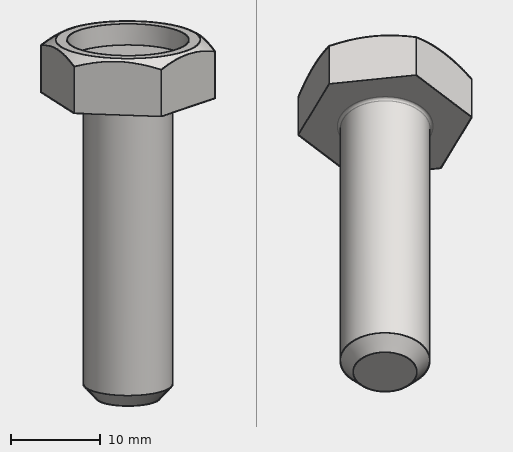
import cadquery as cq
import math

total_length = 41.4
across_flats = 17.0
across_corners = across_flats / math.cos(math.radians(30))

head_height = 6.4
head_face_diameter = 16.15
head_chamfer_angle = 30.0
envelope_margin = 0.4
recess_diameter = 13.6
recess_depth = 2.45

shank_diameter = 10.0
shank_length = total_length - head_height
tip_diameter = 7.12
tip_height = 1.6
neck_fillet = 0.35


def make_head():
    """Hexagon with corners on the Y axis, its top corners cut by a cone."""
    hexagon = (
        cq.Workplane("XY")
        .workplane(offset=shank_length)
        .transformed(rotate=(0, 0, 90))
        .polygon(6, across_corners)
        .extrude(head_height)
    )
    face_radius = head_face_diameter / 2
    outer_radius = across_corners / 2 + envelope_margin
    slope = math.tan(math.radians(head_chamfer_angle))
    chamfer_bottom = total_length - (outer_radius - face_radius) * slope
    envelope = (
        cq.Workplane("XZ")
        .moveTo(0, shank_length)
        .lineTo(outer_radius, shank_length)
        .lineTo(outer_radius, chamfer_bottom)
        .lineTo(face_radius, total_length)
        .lineTo(0, total_length)
        .close()
        .revolve(360, (0, 0, 0), (0, 1, 0))
    )
    return hexagon.intersect(envelope)


def make_shank():
    """Round shank with a conical tip and a concave fillet under the head."""
    radius = shank_diameter / 2
    arc_inset = neck_fillet * (1 - math.sin(math.radians(45)))
    return (
        cq.Workplane("XZ")
        .lineTo(tip_diameter / 2, 0)
        .lineTo(radius, tip_height)
        .lineTo(radius, shank_length - neck_fillet)
        .threePointArc(
            (radius + arc_inset, shank_length - arc_inset),
            (radius + neck_fillet, shank_length),
        )
        .lineTo(0, shank_length)
        .close()
        .revolve(360, (0, 0, 0), (0, 1, 0))
    )


def make_recess():
    """Round blind pocket in the top of the head."""
    return (
        cq.Workplane("XY")
        .workplane(offset=total_length - recess_depth)
        .circle(recess_diameter / 2)
        .extrude(recess_depth)
    )


result = make_head().union(make_shank()).cut(make_recess())